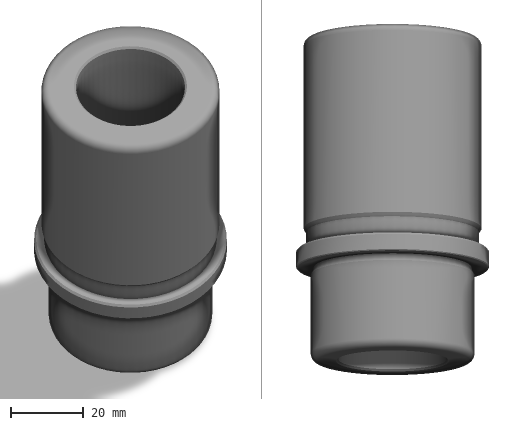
import cadquery as cq

total_length = 90.0
spigot_top = 24.0
flange_bottom = 26.0
flange_thickness = 5.0
body_bottom = 36.0
flange_top = flange_bottom + flange_thickness

flange_diameter = 53.0
body_diameter = 49.0
groove_diameter = 47.5
spigot_diameter = 45.0
bore_diameter = 30.0

end_round = 2.0
flange_top_chamfer = 0.5
flange_bottom_chamfer = 0.3
bore_chamfer = 0.5
body_chamfer_height = 1.1
undercut_depth = 0.7

flange_radius = flange_diameter / 2
body_radius = body_diameter / 2
groove_radius = groove_diameter / 2
spigot_radius = spigot_diameter / 2
bore_radius = bore_diameter / 2

undercut_height = flange_bottom - spigot_top
undercut_radius = spigot_radius - undercut_depth
undercut_arc_radius = (undercut_height**2 + undercut_depth**2) / (2 * undercut_depth)


def make_sleeve():
    """Revolve the half section, stepped outside and chamfered bore, about Z."""
    outline = (
        cq.Workplane("XZ")
        .moveTo(bore_radius + bore_chamfer, 0)
        .lineTo(spigot_radius - end_round, 0)
        .radiusArc((spigot_radius, end_round), -end_round)
        .lineTo(spigot_radius, spigot_top)
        .radiusArc((undercut_radius, flange_bottom), undercut_arc_radius)
        .lineTo(flange_radius - flange_bottom_chamfer, flange_bottom)
        .lineTo(flange_radius, flange_bottom + flange_bottom_chamfer)
        .lineTo(flange_radius, flange_top - flange_top_chamfer)
        .lineTo(flange_radius - flange_top_chamfer, flange_top)
        .lineTo(groove_radius, flange_top)
        .lineTo(groove_radius, body_bottom)
        .lineTo(body_radius, body_bottom + body_chamfer_height)
        .lineTo(body_radius, total_length - end_round)
        .radiusArc((body_radius - end_round, total_length), -end_round)
        .lineTo(bore_radius + bore_chamfer, total_length)
        .lineTo(bore_radius, total_length - bore_chamfer)
        .lineTo(bore_radius, bore_chamfer)
        .close()
    )
    return outline.revolve(360, (0, 0, 0), (0, 1, 0))


result = make_sleeve()